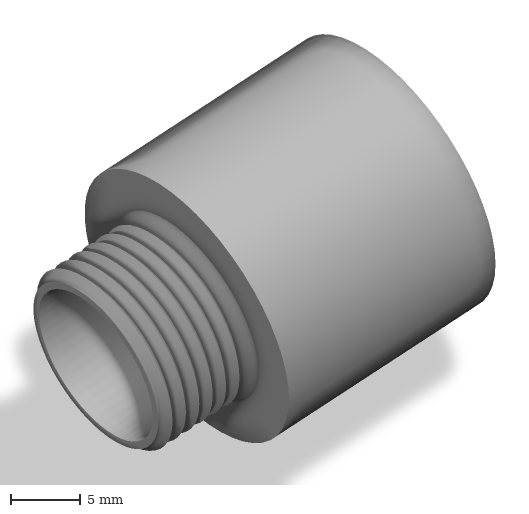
import cadquery as cq

total_length = 28.2
body_diameter = 22.9
neck_length = 8.63
bore_diameter = 12.75

crest_radius = 7.6
root_radius = 6.7
pitch = 1.27
groove_count = 7
shoulder_cone_radius = 7.98
first_root = 0.2

flank_slope = (crest_radius - root_radius) / (pitch / 2)
body_radius = body_diameter / 2
bore_radius = bore_diameter / 2
free_end = -total_length / 2
back_end = total_length / 2
shoulder = free_end + neck_length


def neck_outline():
    """Zigzag of (radius, y) points from the free end to the shoulder."""
    root_y = free_end + first_root
    points = [(root_radius + flank_slope * first_root, free_end)]
    for groove in range(groove_count):
        points.append((root_radius, root_y))
        if groove < groove_count - 1:
            points.append((crest_radius, root_y + pitch / 2))
            root_y += pitch
    points.append((shoulder_cone_radius, shoulder))
    return points


half_section = (
    [(bore_radius, free_end)]
    + neck_outline()
    + [(body_radius, shoulder), (body_radius, back_end), (bore_radius, back_end)]
)

result = cq.Workplane("XY").polyline(half_section).close().revolve(360, (0, 0, 0), (0, 1, 0))